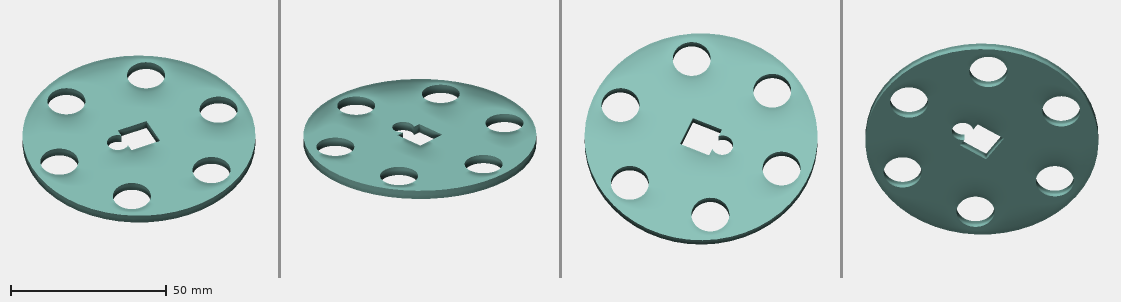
import cadquery as cq

disc_diameter = 75.0
thickness = 3.0

hole_count = 6
hole_diameter = 12.2
hole_circle_radius = 28.35
first_hole_angle = 90.0

square_side = 10.2
relief_diameter = 7.0
relief_offset = 7.5


def make_disc():
    return cq.Workplane("XY").circle(disc_diameter / 2).extrude(thickness)


def make_ring_holes():
    return (
        cq.Workplane("XY")
        .polarArray(hole_circle_radius, first_hole_angle, 360, hole_count)
        .circle(hole_diameter / 2)
        .extrude(thickness)
    )


def make_keyhole():
    square = cq.Workplane("XY").rect(square_side, square_side).extrude(thickness)
    relief = (
        cq.Workplane("XY")
        .center(0, -relief_offset)
        .circle(relief_diameter / 2)
        .extrude(thickness)
    )
    return square.union(relief)


result = make_disc().cut(make_ring_holes()).cut(make_keyhole())